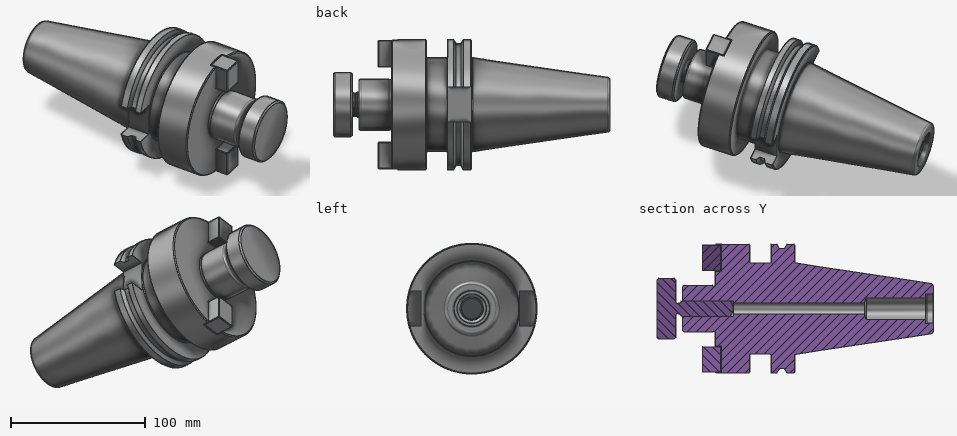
import cadquery as cq
import math


GAUGE_DIA = 69.85
TAPER_LENGTH = 101.6
TAPER_RATIO = 7 / 24
SMALL_END_DIA = GAUGE_DIA - TAPER_RATIO * TAPER_LENGTH
SMALL_END_FILLET = 2.5
FLANGE_DIA = 97.13
FLANGE_START = 1.52
FLANGE_END = 19.05
FLANGE_CHAMFER = 0.7
NECK_ROOT_FILLET = 0.7
GROOVE_CENTER = 11.1
GROOVE_FLOOR_DIA = 90.8
GROOVE_FLOOR_WIDTH = 3.6
GROOVE_FLANK_ANGLE = 30
GROOVE_DEPTH = (FLANGE_DIA - GROOVE_FLOOR_DIA) / 2
GROOVE_WIDTH = GROOVE_FLOOR_WIDTH + 2 * GROOVE_DEPTH * math.tan(math.radians(GROOVE_FLANK_ANGLE))
DRIVE_SLOT_WIDTH = 25.9
DRIVE_SLOT_FLOORS = {1: 37.7, -1: 35.3}

COLLAR_DIA = 97.0
COLLAR_START = 34.9
COLLAR_END = 60.7
COLLAR_CHAMFER = 0.8
PILOT_DIA = 38.1
PILOT_END = 85.1
PILOT_FILLET = 1.6
UNDERCUT_DIA = 37.6
UNDERCUT_WIDTH = 1.9

MOUTH_DIA = 28.0
COUNTERBORE_DIA = 26.2
COUNTERBORE_DEPTH = 6.0
FLOOR_GROOVE_DIA = 26.7
FLOOR_GROOVE_WIDTH = 1.2
DRAWBAR_BORE_DIA = 21.97
DRAWBAR_BORE_DEPTH = 50.0
DRILL_POINT_ANGLE = 118
THROUGH_BORE_DIA = 17.32

OVERALL_LENGTH = 205.62
SCREW_END = OVERALL_LENGTH - TAPER_LENGTH
HEAD_DIA = 48.0
HEAD_THICKNESS = 14.1
HEAD_CHAMFER = 1.2
HEAD_START = SCREW_END - HEAD_THICKNESS
THREAD_DIA = 19.05
THREAD_OVERHANG = 0.8
THREAD_END = PILOT_END + THREAD_OVERHANG
THREAD_LENGTH = 38.0
THREAD_START = PILOT_END - THREAD_LENGTH
THREAD_CHAMFER = 1.9
RUNOUT_LENGTH = 1.2
SHOULDER_DIA = 17.53
SHOULDER_WIDTH = 0.7
NECK_DIA = 17.32
NECK_FILLET = 1.1

KEY_WIDTH = 15.7
KEY_START = 56.0
KEY_END = 70.7
KEY_INNER = 27.8
KEY_OUTER = 47.7
KEY_CHAMFER = 0.6


def turned(points):
    """Revolve a closed (x, radius) outline about the X axis."""
    return cq.Workplane("XY").polyline(points).close().revolve(360, (0, 0, 0), (1, 0, 0))


def cylinder(dia, start, end):
    """A round bar on the X axis from x = start to x = end."""
    return cq.Workplane("YZ").workplane(offset=start).circle(dia / 2).extrude(end - start)


def root_circle(x, dia):
    """Selector for the circular edge of the given diameter, centred on the axis at x."""
    margin = 0.1
    reach = dia / 2 + margin
    return cq.selectors.BoxSelector(
        (x - margin, -reach, -reach), (x + margin, reach, reach), boundingbox=True
    )


def make_taper():
    small_end = cq.Workplane("YZ").workplane(offset=-TAPER_LENGTH).circle(SMALL_END_DIA / 2)
    taper = small_end.workplane(offset=TAPER_LENGTH).circle(GAUGE_DIA / 2).loft()
    return taper.faces("<X").edges().fillet(SMALL_END_FILLET)


def make_flange():
    flange = cylinder(FLANGE_DIA, FLANGE_START, FLANGE_END)
    groove = turned([
        (GROOVE_CENTER - GROOVE_WIDTH / 2, FLANGE_DIA / 2),
        (GROOVE_CENTER - GROOVE_FLOOR_WIDTH / 2, GROOVE_FLOOR_DIA / 2),
        (GROOVE_CENTER + GROOVE_FLOOR_WIDTH / 2, GROOVE_FLOOR_DIA / 2),
        (GROOVE_CENTER + GROOVE_WIDTH / 2, FLANGE_DIA / 2),
    ])
    return flange.cut(groove).faces("<X").edges().chamfer(FLANGE_CHAMFER)


def make_drive_slots():
    slots = cq.Workplane("XY")
    for side, floor in DRIVE_SLOT_FLOORS.items():
        slot = cq.Workplane("XY").box(FLANGE_END - FLANGE_START, FLANGE_DIA, DRIVE_SLOT_WIDTH)
        slot_center = ((FLANGE_START + FLANGE_END) / 2, side * (floor + FLANGE_DIA / 2), 0)
        slots = slots.add(slot.translate(slot_center))
    return slots.combine()


def make_collar_and_pilot():
    collar = cylinder(COLLAR_DIA, COLLAR_START, COLLAR_END).edges().chamfer(COLLAR_CHAMFER)
    undercut_end = COLLAR_END + UNDERCUT_WIDTH
    undercut = cylinder(UNDERCUT_DIA, COLLAR_END, undercut_end)
    pilot = cylinder(PILOT_DIA, undercut_end, PILOT_END).faces(">X").edges().fillet(PILOT_FILLET)
    return collar.union(undercut).union(pilot)


def make_mouth():
    """The counterbore at the small end, with a rounded rim and a relief groove at its floor."""
    rim_radius = (MOUTH_DIA - COUNTERBORE_DIA) / 2
    rim_middle = rim_radius * (1 - math.sqrt(0.5))
    floor = COUNTERBORE_DEPTH - TAPER_LENGTH
    outline = (
        cq.Workplane("XY")
        .moveTo(-TAPER_LENGTH, 0)
        .lineTo(-TAPER_LENGTH, MOUTH_DIA / 2)
        .threePointArc(
            (rim_middle - TAPER_LENGTH, COUNTERBORE_DIA / 2 + rim_middle),
            (rim_radius - TAPER_LENGTH, COUNTERBORE_DIA / 2),
        )
        .lineTo(floor - FLOOR_GROOVE_WIDTH, COUNTERBORE_DIA / 2)
        .lineTo(floor - FLOOR_GROOVE_WIDTH, FLOOR_GROOVE_DIA / 2)
        .lineTo(floor, FLOOR_GROOVE_DIA / 2)
        .lineTo(floor, 0)
        .close()
    )
    return outline.revolve(360, (0, 0, 0), (1, 0, 0))


def make_bores():
    bore_end = DRAWBAR_BORE_DEPTH - TAPER_LENGTH
    point_length = DRAWBAR_BORE_DIA / 2 / math.tan(math.radians(DRILL_POINT_ANGLE / 2))
    drawbar_bore = turned([
        (-TAPER_LENGTH, 0),
        (-TAPER_LENGTH, DRAWBAR_BORE_DIA / 2),
        (bore_end, DRAWBAR_BORE_DIA / 2),
        (bore_end + point_length, 0),
    ])
    through_bore = cylinder(THROUGH_BORE_DIA, -TAPER_LENGTH, PILOT_END)
    screw_hole = cylinder(THREAD_DIA, THREAD_START, PILOT_END)
    return make_mouth().union(drawbar_bore).union(through_bore).union(screw_hole)


def make_key(side):
    """A drive key set into the rim of the collar at +Z (side 1) or -Z (side -1)."""
    key = cq.Workplane("XY").box(KEY_END - KEY_START, KEY_WIDTH, KEY_OUTER - KEY_INNER)
    key = key.edges().chamfer(KEY_CHAMFER)
    key = key.translate(((KEY_START + KEY_END) / 2, 0, (KEY_INNER + KEY_OUTER) / 2))
    return key if side > 0 else key.mirror("XY")


def make_key_slots():
    """Slots across the rim of the collar, open to its end face and its outside."""
    slot_height = COLLAR_DIA / 2 - KEY_INNER
    slot = cq.Workplane("XY").box(COLLAR_END - KEY_START, KEY_WIDTH, slot_height)
    slot = slot.translate(((KEY_START + COLLAR_END) / 2, 0, KEY_INNER + slot_height / 2))
    return slot.union(slot.mirror("XY"))


def make_holder():
    neck = cylinder(GAUGE_DIA, 0, COLLAR_START)
    holder = make_taper().union(neck).union(make_flange()).union(make_collar_and_pilot())
    for root in (FLANGE_START, FLANGE_END, COLLAR_START):
        holder = holder.edges(root_circle(root, GAUGE_DIA)).fillet(NECK_ROOT_FILLET)
    return holder.cut(make_drive_slots()).cut(make_bores()).cut(make_key_slots())


def make_screw():
    thread = cylinder(THREAD_DIA, THREAD_START, THREAD_END)
    thread = thread.faces("<X").edges().chamfer(THREAD_CHAMFER)
    shoulder_start = THREAD_END + RUNOUT_LENGTH
    neck_start = shoulder_start + SHOULDER_WIDTH
    runout = turned([
        (THREAD_END, 0),
        (THREAD_END, THREAD_DIA / 2),
        (shoulder_start, SHOULDER_DIA / 2),
        (neck_start, SHOULDER_DIA / 2),
        (neck_start, 0),
    ])
    neck = cylinder(NECK_DIA, neck_start, HEAD_START)
    head = cylinder(HEAD_DIA, HEAD_START, SCREW_END).edges().chamfer(HEAD_CHAMFER)
    shank = neck.union(head).edges(root_circle(HEAD_START, NECK_DIA)).fillet(NECK_FILLET)
    return thread.union(runout).union(shank)


keys = [make_key(side) for side in (1, -1)]
holder = make_holder()
screw = make_screw()

result = cq.Compound.makeCompound([holder.val(), screw.val(), *[key.val() for key in keys]])